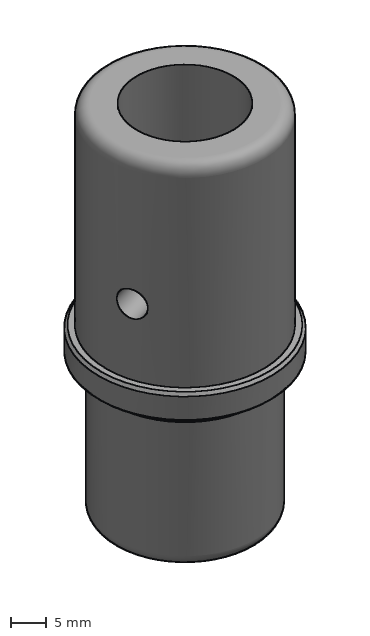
import cadquery as cq

total_height = 70.0
bore_diameter = 19.0

spigot_diameter = 28.0
spigot_height = 27.0
neck_height = 2.0
neck_depth = 0.9

collar_diameter = 34.0
collar_height = 5.0
collar_chamfer = 0.5

sleeve_diameter = 31.0
end_fillet = 2.0

hole_diameter = 5.0
hole_height = 45.0

collar_top = spigot_height + collar_height


def cylinder(diameter, bottom, top):
    return cq.Workplane("XY").workplane(offset=bottom).circle(diameter / 2).extrude(top - bottom)


def make_neck():
    """Cone that narrows upward from the spigot to the collar."""
    spigot_radius = spigot_diameter / 2
    neck_bottom = spigot_height - neck_height
    return (
        cq.Workplane("XZ")
        .moveTo(0, neck_bottom)
        .lineTo(spigot_radius, neck_bottom)
        .lineTo(spigot_radius - neck_depth, spigot_height)
        .lineTo(0, spigot_height)
        .close()
        .revolve(360, (0, 0, 0), (0, 1, 0))
    )


def make_side_hole():
    """Cutter reaching from the bore axis out through the -Y wall."""
    return (
        cq.Workplane("XZ")
        .center(0, hole_height)
        .circle(hole_diameter / 2)
        .extrude(sleeve_diameter)
    )


spigot = cylinder(spigot_diameter, 0, spigot_height - neck_height).faces("<Z").edges().fillet(end_fillet)
collar = cylinder(collar_diameter, spigot_height, collar_top).faces("<Z or >Z").edges().chamfer(collar_chamfer)
sleeve = cylinder(sleeve_diameter, collar_top, total_height).faces(">Z").edges().fillet(end_fillet)

body = spigot.union(make_neck()).union(collar).union(sleeve)
bore = cylinder(bore_diameter, 0, total_height)
result = body.cut(bore).cut(make_side_hole())